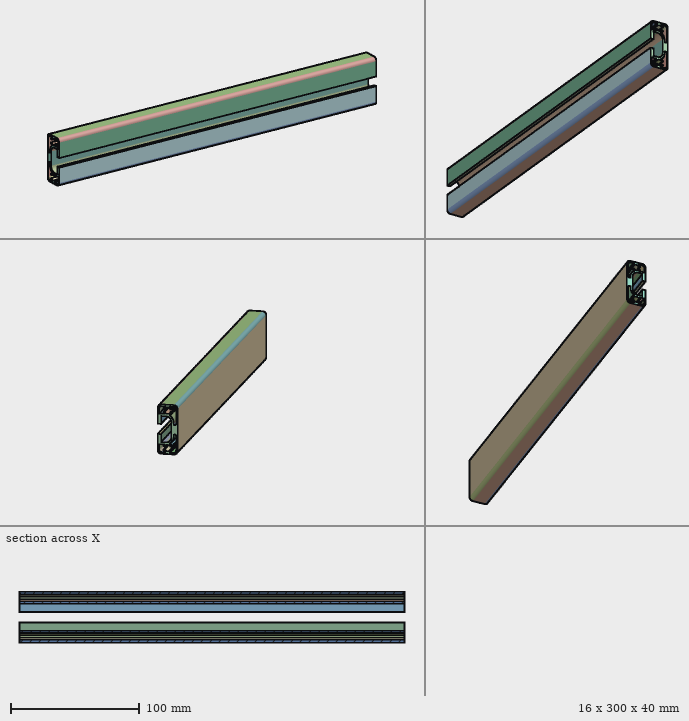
import cadquery as cq
import math

length = 300.0
width = 16.0
height = 40.0
corner_radius = 3.0

side_wall = 1.2
end_wall = 1.5
lip_wall = 2.7

slot_opening = 8.0
channel_left = -3.0
channel_top = 10.5
channel_radius = 4.5
channel_wall = 1.8

chamber_foot = 4.0
chamber_foot_radius = 0.75

port_height = 15.0
port_inner_radius = 2.55
port_outer_radius = 4.0
port_opening_half_angle = 25.0


def rounded_bar(left, right, top, radius):
    """Bar symmetric about Z = 0, with its two left edges rounded."""
    return (
        cq.Workplane("XZ")
        .center((left + right) / 2, 0)
        .rect(right - left, 2 * top)
        .extrude(length / 2, both=True)
        .edges("|Y and <X")
        .fillet(radius)
    )


def screw_port():
    """Upper screw port: a tube split by a radial gap on each side."""
    tube = (
        cq.Workplane("XZ")
        .center(0, port_height)
        .circle(port_outer_radius)
        .circle(port_inner_radius)
        .extrude(length / 2, both=True)
    )
    reach = 2 * port_outer_radius
    spread = reach * math.tan(math.radians(port_opening_half_angle))
    for side in (-1, 1):
        gap = (
            cq.Workplane("XZ")
            .center(0, port_height)
            .polyline([(0, 0), (side * reach, spread), (side * reach, -spread)])
            .close()
            .extrude(length / 2, both=True)
        )
        tube = tube.cut(gap)
    return tube


def upper_chamber(channel_shell):
    """Hollow above the channel, wrapping around its rounded shell."""
    chamber_top = height / 2 - end_wall
    chamber = (
        cq.Workplane("XZ")
        .center(0, (chamber_foot + chamber_top) / 2)
        .rect(width - 2 * side_wall, chamber_top - chamber_foot)
        .extrude(length / 2, both=True)
        .edges("|Y and >Z")
        .fillet(corner_radius - side_wall)
        .cut(channel_shell)
    )
    chamber = chamber.edges("|Y and <Z").fillet(chamber_foot_radius)
    return chamber.cut(screw_port())


profile = (
    cq.Workplane("XZ")
    .rect(width, height)
    .extrude(length / 2, both=True)
    .edges("|Y")
    .fillet(corner_radius)
)

shell = rounded_bar(
    channel_left - channel_wall, width / 2, channel_top + channel_wall, channel_radius + channel_wall
)
chamber = upper_chamber(shell)
profile = profile.cut(chamber).cut(chamber.mirror("XY"))

channel = rounded_bar(channel_left, width / 2 - lip_wall, channel_top, channel_radius)
opening = cq.Workplane("XY").box(width / 2, length, slot_opening).translate((width / 4, 0, 0))
result = profile.cut(channel).cut(opening)